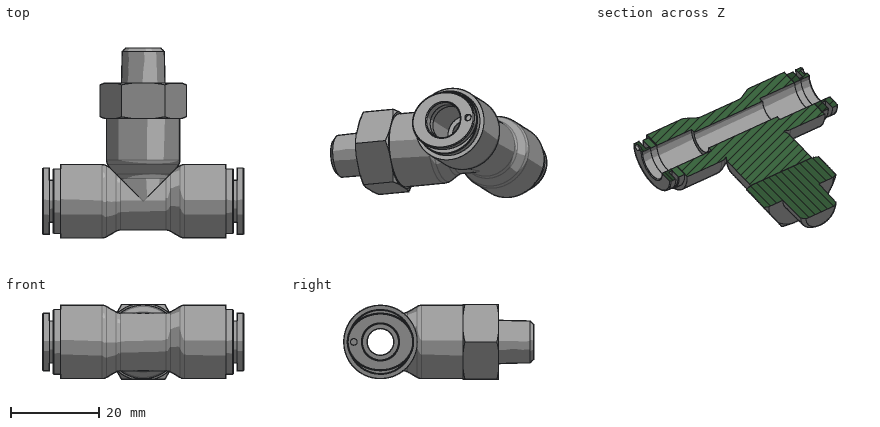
import cadquery as cq
import math


half_length = 22.85
socket_radius = 16.7 / 2
waist_radius = 6.55
body_end = 18.75
socket_inner_end = 9.3
cone_angle = math.radians(30)
cone_rounding = 2.0

tube_radius = 8.2 / 2
passage_radius = 6.0 / 2
tube_stop = socket_inner_end

collar_radius = 14.7 / 2
collar_end = 20.45
collar_chamfer = 0.2

neck_radius = 9.6 / 2
flange_half_width = 7.55
flange_half_height = 6.55
flange_thickness = 1.55
sleeve_chamfer = 0.25
key_hole_diameter = 1.5
key_hole_offset = 6.05
key_hole_depth = 0.75

hex_across_flats = 17.0
hex_length = 8.05
hex_chamfer_radius = 8.77
hex_chamfer_height = 0.4
stud_end = 43.1 - socket_radius
spigot_end_radius = 9.6 / 2
spigot_root_radius = 9.9 / 2
spigot_chamfer = 0.85


def along_x(x):
    """Plane across the X axis at x, with local x along Y and local y along Z."""
    return cq.Workplane("YZ", origin=(x, 0, 0))


def make_arm():
    """Solid tee arm along +X, from the centre to the face of the socket."""
    rounding_length = cone_rounding * math.sin(cone_angle)
    rounding_drop = cone_rounding * (1 - math.cos(cone_angle))
    cone_drop = socket_radius - waist_radius - 2 * rounding_drop
    cone_length = cone_drop / math.tan(cone_angle)
    cone_start = socket_inner_end - rounding_length
    cone_finish = cone_start - cone_length
    waist_end = cone_finish - rounding_length
    mid_length = cone_rounding * math.sin(cone_angle / 2)
    mid_drop = cone_rounding * (1 - math.cos(cone_angle / 2))
    return (
        cq.Workplane("XY")
        .lineTo(body_end, 0)
        .lineTo(body_end, socket_radius)
        .lineTo(socket_inner_end, socket_radius)
        .threePointArc(
            (socket_inner_end - mid_length, socket_radius - mid_drop),
            (cone_start, socket_radius - rounding_drop),
        )
        .lineTo(cone_finish, waist_radius + rounding_drop)
        .threePointArc(
            (waist_end + mid_length, waist_radius + mid_drop),
            (waist_end, waist_radius),
        )
        .lineTo(0, waist_radius)
        .close()
        .revolve(360, (0, 0, 0), (1, 0, 0))
    )


def make_body():
    """Tee body with a stepped bore through the run."""
    arm = make_arm()
    body = arm
    for turn in (90, 180):
        body = body.union(arm.rotate((0, 0, 0), (0, 0, 1), turn))
    body = body.cut(along_x(-body_end).circle(passage_radius).extrude(2 * body_end))
    for start in (-body_end, tube_stop):
        body = body.cut(along_x(start).circle(tube_radius).extrude(body_end - tube_stop))
    return body


def make_collar():
    """Ring on the socket face at the -X end, chamfered on its outer edge."""
    return (
        along_x(-collar_end)
        .circle(collar_radius)
        .extrude(collar_end - body_end)
        .faces("<X")
        .chamfer(collar_chamfer)
        .cut(along_x(-collar_end).circle(tube_radius).extrude(collar_end - body_end))
    )


def make_sleeve():
    """Release sleeve at the -X end: oval flange, neck, tube bore and shallow key hole."""
    flange = (
        along_x(-half_length)
        .ellipse(flange_half_width, flange_half_height)
        .extrude(flange_thickness)
        .faces("<X")
        .chamfer(sleeve_chamfer)
    )
    neck = along_x(-half_length + flange_thickness).circle(neck_radius)
    sleeve = flange.union(neck.extrude(half_length - flange_thickness - collar_end))
    bore = along_x(-half_length).circle(tube_radius).extrude(half_length - collar_end)
    bore_edge = cq.Workplane(
        cq.Solid.makeCone(
            tube_radius + sleeve_chamfer,
            tube_radius,
            sleeve_chamfer,
            cq.Vector(-half_length, 0, 0),
            cq.Vector(1, 0, 0),
        )
    )
    key_hole = (
        along_x(-half_length)
        .center(-key_hole_offset, 0)
        .circle(key_hole_diameter / 2)
        .extrude(key_hole_depth)
    )
    return sleeve.cut(bore).cut(bore_edge).cut(key_hole)


def make_stud():
    """Hexagon seated on the branch face, with a tapered spigot pointing along +Y."""
    hex_end = body_end + hex_length
    hex_corner_radius = hex_across_flats / math.sqrt(3)
    hexagon = (
        cq.Workplane("XZ", origin=(0, hex_end, 0))
        .polygon(6, 2 * hex_corner_radius)
        .extrude(hex_length)
    )
    blank = (
        cq.Workplane("XY")
        .moveTo(0, body_end)
        .lineTo(hex_chamfer_radius, body_end)
        .lineTo(hex_corner_radius, body_end + hex_chamfer_height)
        .lineTo(hex_corner_radius, hex_end - hex_chamfer_height)
        .lineTo(hex_chamfer_radius, hex_end)
        .lineTo(0, hex_end)
        .close()
        .revolve(360, (0, 0, 0), (0, 1, 0))
    )
    spigot = (
        cq.Workplane("XY")
        .moveTo(0, hex_end)
        .lineTo(spigot_root_radius, hex_end)
        .lineTo(spigot_end_radius, stud_end - spigot_chamfer)
        .lineTo(spigot_end_radius - spigot_chamfer, stud_end)
        .lineTo(0, stud_end)
        .close()
        .revolve(360, (0, 0, 0), (0, 1, 0))
    )
    return hexagon.intersect(blank).union(spigot)


body = make_body()
stud = make_stud()

port_parts = []
for part in (make_collar(), make_sleeve()):
    port_parts.append(part.val())
    port_parts.append(part.mirror("YZ").val())

result = cq.Compound.makeCompound([body.val(), stud.val(), *port_parts])